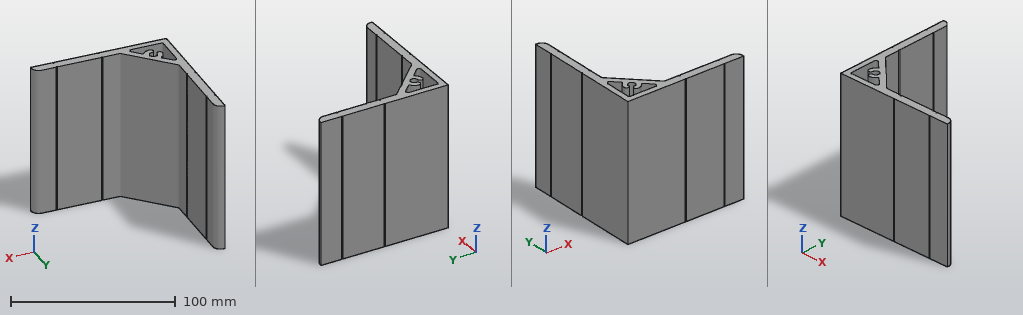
import cadquery as cq
import math

leg_length = 90.0
leg_thickness = 6.0
part_height = 100.0
tip_radius = 5.0

web_outer_reach = 39.1
web_thickness = 4.4
web_inner_reach = web_outer_reach - web_thickness * math.sqrt(2)
web_blend_radius = 2.0

cavity_wall = 4.2
cavity_square_radius = 1.0
cavity_acute_radius = 1.6

boss_center = 15.1
boss_outer_radius = 6.0
screw_radius = 2.5
boss_root_radius = 0.8
arm_thickness = boss_outer_radius - screw_radius
arm_mid_radius = screw_radius + arm_thickness / 2

groove_positions = (45.0, 75.0)
groove_width = 1.0
groove_depth = 0.5


def near(x, y, size=0.5):
    """Selector for the upright edge that stands at (x, y)."""
    return cq.selectors.BoxSelector(
        (x - size, y - size, 0), (x + size, y + size, part_height)
    )


def bracket_body():
    """L-shaped legs joined by the diagonal web, with rounded tips."""
    web_end = web_outer_reach - leg_thickness
    body = (
        cq.Workplane("XY")
        .polyline([
            (0, 0),
            (leg_length, 0),
            (leg_length, leg_thickness),
            (web_end, leg_thickness),
            (leg_thickness, web_end),
            (leg_thickness, leg_length),
            (0, leg_length),
        ])
        .close()
        .extrude(part_height)
    )
    for x, y in ((leg_length, leg_thickness), (leg_thickness, leg_length)):
        body = body.edges(near(x, y)).fillet(tip_radius)
    for x, y in ((web_end, leg_thickness), (leg_thickness, web_end)):
        body = body.edges(near(x, y)).fillet(web_blend_radius)
    return body


def screw_boss():
    """Three-quarter ring with rounded arm ends."""
    ring = (
        cq.Workplane("XY")
        .center(boss_center, boss_center)
        .circle(boss_outer_radius)
        .circle(screw_radius)
        .extrude(part_height)
    )
    opening = (
        cq.Workplane("XY")
        .rect(boss_center, boss_center, centered=False)
        .extrude(part_height)
    )
    arm_end = boss_center - arm_mid_radius
    arm_ends = (
        cq.Workplane("XY")
        .pushPoints([(arm_end, boss_center), (boss_center, arm_end)])
        .circle(arm_thickness / 2)
        .extrude(part_height)
    )
    return ring.cut(opening).union(arm_ends)


def triangular_cavity():
    """Through cavity with rounded corners."""
    corner = (cavity_wall, cavity_wall)
    far = web_inner_reach - cavity_wall
    acute_corners = [(far, cavity_wall), (cavity_wall, far)]
    cavity = cq.Workplane("XY").polyline([corner] + acute_corners).close().extrude(part_height)
    cavity = cavity.edges(near(*corner)).fillet(cavity_square_radius)
    for x, y in acute_corners:
        cavity = cavity.edges(near(x, y)).fillet(cavity_acute_radius)
    return cavity


def cavity_around_boss():
    """Cavity less the boss, rounded where the boss leaves the web."""
    screw_channel = (
        cq.Workplane("XY")
        .center(boss_center, boss_center)
        .circle(screw_radius)
        .extrude(part_height)
    )
    void = triangular_cavity().cut(screw_boss()).union(screw_channel)
    web_distance = web_inner_reach / math.sqrt(2) - boss_center * math.sqrt(2)
    half_chord = math.sqrt(boss_outer_radius**2 - web_distance**2)
    along = half_chord / math.sqrt(2)
    middle = web_inner_reach / 2
    for side in (-1, 1):
        root = near(middle + side * along, middle - side * along)
        void = void.edges(root).fillet(boss_root_radius)
    return void


def cut_leg_grooves(body):
    """Cut V grooves into both faces of both legs."""
    for position in groove_positions:
        for face, inward in ((0, 1), (leg_thickness, -1)):
            x_leg_groove = [
                (position - groove_width / 2, face),
                (position + groove_width / 2, face),
                (position, face + inward * groove_depth),
            ]
            y_leg_groove = [(y, x) for x, y in x_leg_groove]
            for outline in (x_leg_groove, y_leg_groove):
                groove = cq.Workplane("XY").polyline(outline).close().extrude(part_height)
                body = body.cut(groove)
    return body


result = cut_leg_grooves(bracket_body().cut(cavity_around_boss()))